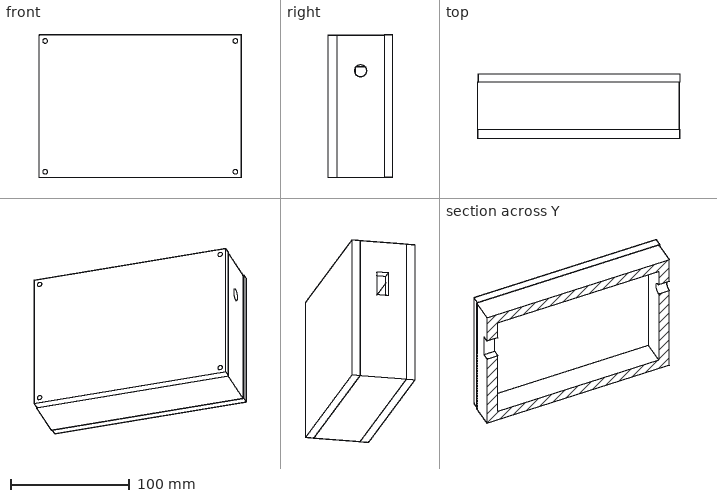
import cadquery as cq

length = 170.0
height = 120.0
front_thickness = 7.5
rear_thickness = 7.0
housing_depth = 40.0
wall = 10.0

front_shift_x = 0.3
rear_shift_x = 0.7
rear_shift_z = 0.3

screw_diameter = 4.0
screw_inset = 5.0

window_width = 10.0
window_height = 20.1
window_y = 0.7
window_z = 23.2

cable_diameter = 10.0
cable_z = 30.0

front_plate_y = -(housing_depth + front_thickness) / 2
rear_plate_y = (housing_depth + rear_thickness) / 2
wall_center_x = (length - wall) / 2


def make_housing():
    """Rectangular frame, open at both faces, with an opening in each end wall."""
    frame = cq.Workplane("XY").box(length, housing_depth, height)
    cavity = cq.Workplane("XY").box(length - 2 * wall, housing_depth, height - 2 * wall)
    window = (
        cq.Workplane("XY")
        .box(wall, window_width, window_height)
        .translate((-wall_center_x, window_y, window_z))
    )
    cable_hole = (
        cq.Workplane("YZ", origin=(wall_center_x, 0, cable_z))
        .circle(cable_diameter / 2)
        .extrude(wall / 2, both=True)
    )
    return frame.cut(cavity).cut(window).cut(cable_hole)


def make_front_plate():
    """Cover plate with a screw hole through each corner."""
    plate = (
        cq.Workplane("XY")
        .box(length, front_thickness, height)
        .faces("<Y")
        .workplane(centerOption="CenterOfBoundBox")
        .rect(length - 2 * screw_inset, height - 2 * screw_inset, forConstruction=True)
        .vertices()
        .hole(screw_diameter)
    )
    return plate.translate((front_shift_x, front_plate_y, 0))


def make_rear_plate():
    """Plain plate closing the rear of the housing."""
    plate = cq.Workplane("XY").box(length, rear_thickness, height)
    return plate.translate((rear_shift_x, rear_plate_y, rear_shift_z))


housing = make_housing()
front_plate = make_front_plate()
rear_plate = make_rear_plate()

result = cq.Compound.makeCompound([housing.val(), front_plate.val(), rear_plate.val()])